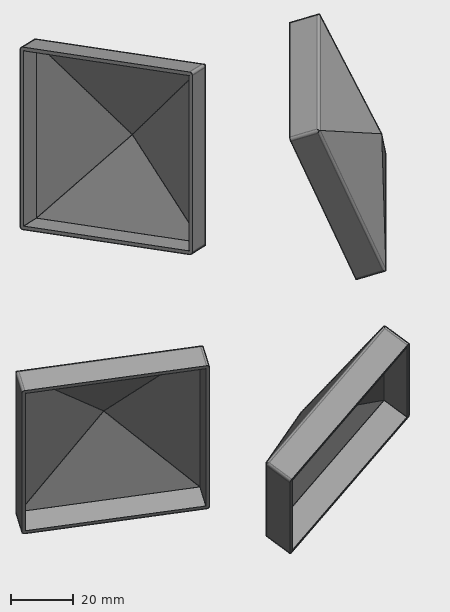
import cadquery as cq

width = 61.2
total_depth = 19.95
skirt_depth = total_depth / 2
edge_radius = 1.0
wall = 1.2
inner_skirt_depth = 9.35
inner_apex_depth = 19.0
front_y = -total_depth / 2


def house_prism(side, straight_depth, apex_depth, eave_radius=0):
    """Gabled profile in the XY plane, extruded along Z over the full side."""
    half = side / 2
    prism = (
        cq.Workplane("XY", origin=(0, front_y, -half))
        .moveTo(-half, 0)
        .lineTo(half, 0)
        .lineTo(half, straight_depth)
        .lineTo(0, apex_depth)
        .lineTo(-half, straight_depth)
        .close()
        .extrude(side)
    )
    if eave_radius:
        eaves = prism.edges("|Z").edges("<X or >X").edges(">Y")
        prism = eaves.fillet(eave_radius)
    return prism


def hipped_block(side, straight_depth, apex_depth, eave_radius=0):
    """Two crossed gabled prisms leave a square block with a pyramid roof."""
    prism = house_prism(side, straight_depth, apex_depth, eave_radius)
    crossed = prism.rotate((0, 0, 0), (0, 1, 0), 90)
    return prism.intersect(crossed)


outer = hipped_block(width, skirt_depth, total_depth, edge_radius)

rounded_column = (
    cq.Workplane("XZ", origin=(0, front_y, 0))
    .rect(width, width)
    .extrude(-total_depth)
    .edges("|Y")
    .fillet(edge_radius)
)
outer = outer.intersect(rounded_column)

cavity = hipped_block(width - 2 * wall, inner_skirt_depth, inner_apex_depth)
result = outer.cut(cavity)